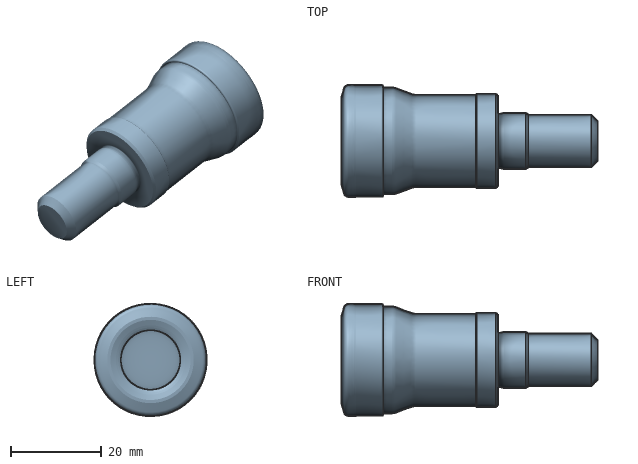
import cadquery as cq
import math

TOTAL_LENGTH = 57.0

HEAD_RADIUS = 23.8 / 2
WAIST_RADIUS = 20.6 / 2
FLANGE_RADIUS = 21.0 / 2
SEAT_RADIUS = 12.5 / 2
UNDERCUT_RADIUS = 12.1 / 2
STUD_RADIUS = 11.75 / 2

HEAD_FRONT_X = 1.0
CONE_START_X = 11.7
FLANGE_START_X = 30.1
FLANGE_END_X = 34.87
UNDERCUT_END_X = 35.35
SEAT_START_X = 36.1
SEAT_END_X = 40.95
STUD_START_X = 41.6

HEAD_CHAMFER = 1.0
CONE_ANGLE = 20.3
CONE_BLEND_RADIUS = 2.5
FLANGE_STEP = FLANGE_RADIUS - WAIST_RADIUS
FLANGE_CHAMFER = 0.5
UNDERCUT_FILLET = 0.2
STUD_CHAMFER = 1.5

CAP_RADIUS = 12.5
CAP_LENGTH = 9.3
CAP_WALL_RADIUS = 12.45
CAP_END_FILLET = 0.35
SLOPE_OUTER_RADIUS = 11.6
SLOPE_OUTER_X = 0.6
SHOULDER_END_X = 1.6
SHOULDER_RADIUS = 12.48
SHOULDER_ARC_RADIUS = 1.2
BEAD_TOP_X = 2.27
BEAD_FALL_X = 2.8
BEAD_FALL_RADIUS = 12.49
BEAD_END_X = 3.3

RIM_OUTER_RADIUS = 9.6
RIM_INNER_RADIUS = 8.9
MOUTH_RADIUS = 7.7
MOUTH_X = 0.34
THROAT_RADIUS = 7.2
THROAT_X = 0.51
LIP_RADIUS = 6.75
LIP_X = 0.7
OPENING_RADIUS = 6.6
OPENING_X = 0.8


def revolve_about_x(profile):
    """Turn a closed (x, radius) profile a full turn about the X axis."""
    return profile.close().revolve(360, (0, 0, 0), (1, 0, 0))


def make_body():
    """Head, tapering waist, flange and chamfered stud in one turned piece."""
    angle = math.radians(CONE_ANGLE)
    cone_end_x = CONE_START_X + (HEAD_RADIUS - WAIST_RADIUS) / math.tan(angle)
    tangent = CONE_BLEND_RADIUS * math.tan(angle / 2)
    tangent_x = tangent * math.cos(angle)
    tangent_r = tangent * math.sin(angle)
    profile = (
        cq.Workplane("XY")
        .moveTo(HEAD_FRONT_X, 0)
        .lineTo(HEAD_FRONT_X, HEAD_RADIUS - HEAD_CHAMFER)
        .lineTo(HEAD_FRONT_X + HEAD_CHAMFER, HEAD_RADIUS)
        .lineTo(CONE_START_X - tangent, HEAD_RADIUS)
        .radiusArc((CONE_START_X + tangent_x, HEAD_RADIUS - tangent_r), CONE_BLEND_RADIUS)
        .lineTo(cone_end_x - tangent_x, WAIST_RADIUS + tangent_r)
        .radiusArc((cone_end_x + tangent, WAIST_RADIUS), -CONE_BLEND_RADIUS)
        .lineTo(FLANGE_START_X - FLANGE_STEP, WAIST_RADIUS)
        .lineTo(FLANGE_START_X, FLANGE_RADIUS)
        .lineTo(FLANGE_END_X - FLANGE_CHAMFER, FLANGE_RADIUS)
        .lineTo(FLANGE_END_X, FLANGE_RADIUS - FLANGE_CHAMFER)
        .lineTo(FLANGE_END_X, UNDERCUT_RADIUS + UNDERCUT_FILLET)
        .radiusArc((FLANGE_END_X + UNDERCUT_FILLET, UNDERCUT_RADIUS), -UNDERCUT_FILLET)
        .lineTo(UNDERCUT_END_X, UNDERCUT_RADIUS)
        .lineTo(SEAT_START_X, SEAT_RADIUS)
        .lineTo(SEAT_END_X, SEAT_RADIUS)
        .lineTo(STUD_START_X, STUD_RADIUS)
        .lineTo(TOTAL_LENGTH - STUD_CHAMFER, STUD_RADIUS)
        .lineTo(TOTAL_LENGTH, STUD_RADIUS - STUD_CHAMFER)
        .lineTo(TOTAL_LENGTH, 0)
    )
    return revolve_about_x(profile)


def make_cap():
    """Thin cup around the head, open at the front so the head face shows."""
    profile = (
        cq.Workplane("XY")
        .moveTo(HEAD_FRONT_X, OPENING_RADIUS)
        .lineTo(OPENING_X, OPENING_RADIUS)
        .lineTo(LIP_X, LIP_RADIUS)
        .lineTo(THROAT_X, THROAT_RADIUS)
        .lineTo(MOUTH_X, MOUTH_RADIUS)
        .lineTo(0, RIM_INNER_RADIUS)
        .lineTo(0, RIM_OUTER_RADIUS)
        .lineTo(SLOPE_OUTER_X, SLOPE_OUTER_RADIUS)
        .radiusArc((SHOULDER_END_X, SHOULDER_RADIUS), SHOULDER_ARC_RADIUS)
        .lineTo(BEAD_TOP_X, CAP_RADIUS)
        .lineTo(BEAD_FALL_X, BEAD_FALL_RADIUS)
        .lineTo(BEAD_END_X, CAP_WALL_RADIUS)
        .lineTo(CAP_LENGTH - CAP_END_FILLET, CAP_WALL_RADIUS)
        .radiusArc((CAP_LENGTH, CAP_WALL_RADIUS - CAP_END_FILLET), CAP_END_FILLET)
        .lineTo(CAP_LENGTH, HEAD_RADIUS)
        .lineTo(HEAD_FRONT_X + HEAD_CHAMFER, HEAD_RADIUS)
        .lineTo(HEAD_FRONT_X, HEAD_RADIUS - HEAD_CHAMFER)
    )
    return revolve_about_x(profile)


body = make_body()
cap = make_cap()

result = cq.Compound.makeCompound([body.val(), cap.val()])